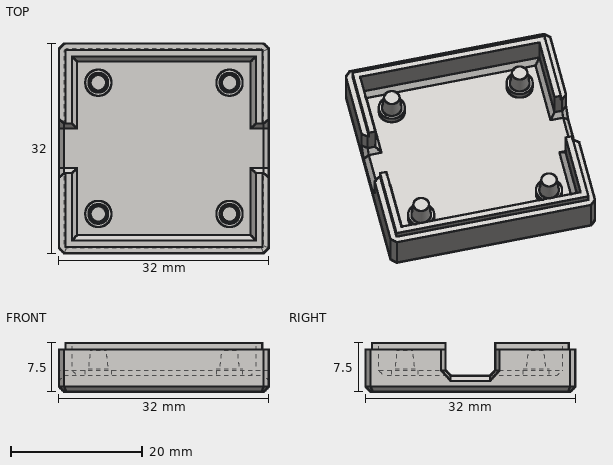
import cadquery as cq

side = 32.0
height = 7.5
edge_chamfer = 0.8
shoulder_height = 6.5
lip_inset = 1.0
wall_thickness = 2.0
floor_height = 2.5

notch_floor_half_width = 3.0
notch_inner_half_width = 3.78
notch_outer_half_width = 4.45
notch_corner_height = floor_height + edge_chamfer
notch_flare_depth = edge_chamfer

post_spacing = 20.0
collar_diameter = 4.0
collar_height = 1.0
post_base_diameter = 3.0
post_top_diameter = 2.37
post_height = 3.8

half_side = side / 2
cavity_side = side - 2 * wall_thickness


def make_body():
    """Square block with broken vertical and bottom edges and a raised lip."""
    block = cq.Workplane("XY").box(side, side, shoulder_height, centered=(True, True, False))
    block = block.edges("|Z").chamfer(edge_chamfer)
    block = block.faces("<Z").edges().chamfer(edge_chamfer)
    lip_side = side - 2 * lip_inset
    lip = (
        cq.Workplane("XY", origin=(0, 0, floor_height))
        .rect(lip_side, lip_side)
        .extrude(height - floor_height)
    )
    return block.union(lip)


def make_cavity():
    """Open square cavity, chamfered where its walls meet the floor."""
    return (
        cq.Workplane("XY", origin=(0, 0, floor_height))
        .rect(cavity_side, cavity_side)
        .extrude(height - floor_height)
        .faces("<Z")
        .edges()
        .chamfer(edge_chamfer)
    )


def notch_outline(half_width, bottom):
    """Section of the notch in YZ, with sloping lower corners and an open top."""
    return [
        (-notch_floor_half_width, bottom),
        (notch_floor_half_width, bottom),
        (half_width, notch_corner_height),
        (half_width, height),
        (-half_width, height),
        (-half_width, notch_corner_height),
    ]


def make_notch():
    """Notch running the full length, flaring out at each outer face."""
    inner = notch_outline(notch_inner_half_width, floor_height)
    outer = notch_outline(notch_outer_half_width, floor_height - edge_chamfer)
    notch = cq.Workplane("YZ").polyline(inner).close().extrude(half_side, both=True)
    flare = (
        cq.Workplane("YZ", origin=(half_side - notch_flare_depth, 0, 0))
        .polyline(inner)
        .close()
        .workplane(offset=notch_flare_depth)
        .polyline(outer)
        .close()
        .loft(ruled=True)
    )
    return notch.union(flare).union(flare.mirror("YZ"))


def make_post():
    """Tapered post standing in a low round collar."""
    collar = cq.Workplane("XY").circle(collar_diameter / 2).extrude(collar_height)
    post = (
        cq.Workplane("XY", origin=(0, 0, collar_height))
        .circle(post_base_diameter / 2)
        .workplane(offset=post_height - collar_height)
        .circle(post_top_diameter / 2)
        .loft()
    )
    return collar.union(post)


result = make_body().cut(make_cavity()).cut(make_notch())

post = make_post()
post_offset = post_spacing / 2
for x in (-post_offset, post_offset):
    for y in (-post_offset, post_offset):
        result = result.union(post.translate((x, y, floor_height)))